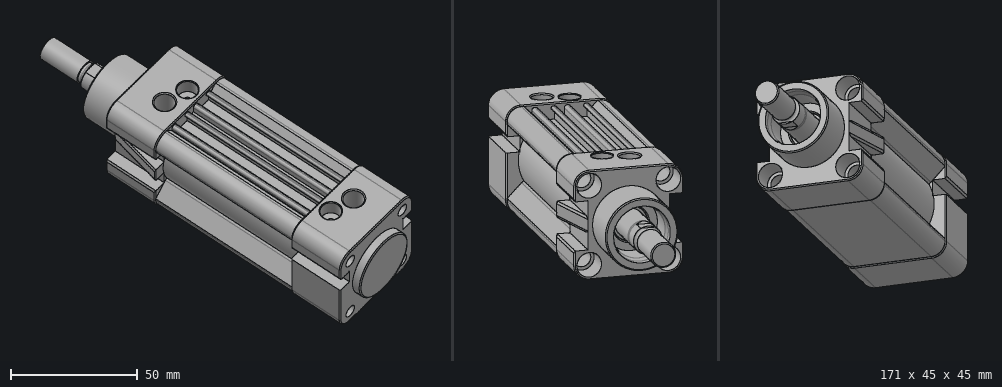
import cadquery as cq

total_length = 171.0
boss_front = 30.0
front_cap_start = 48.0
barrel_start = 73.0
barrel_end = 142.1
rear_cap_end = 167.0

cap_width = 45.0
bolt_offset = 16.2
cap_half = cap_width / 2
cap_corner_radius = cap_half - bolt_offset
cap_end_chamfer = 0.5

recess_floor = 16.8
recess_half_height = 10.1
bevel_rise = 1.0
bevel_depth = 0.5
block_top = 3.5
ramp_half_height = 3.5

boss_diameter = 29.8
boss_chamfer = 0.5
boss_bore_diameter = 21.9
boss_bore_depth = 15.4
boss_mouth_diameter = 23.3
boss_mouth_depth = 2.5
boss_mouth_taper = 2.2
wiper_diameter = 14.4
wiper_depth = 1.7
wiper_chamfer = 0.5

chamber_diameter = 16.0
chamber_depth = 16.2
port_diameter = 8.5
port_chamfer = 0.5
port_inset = 9.4
port_offset = 5.0
screw_recess_diameter = 8.5
screw_recess_chamfer = 0.3
screw_recess_depth = 6.8
screw_hole_diameter = 2.9
screw_inset = 6.3
screw_offset = 5.5

bolt_head_diameter = 10.1
bolt_head_depth = 10.3
bolt_clearance_diameter = 7.4
bolt_hole_diameter = 5.3

barrel_width = 44.1
barrel_half = barrel_width / 2
barrel_corner_radius = barrel_half - bolt_offset
lobe_edge = 15.2
flank_radius = 17.5
flank_half_height = 8.5
flank_groove_bottom = 9.2
top_valley_level = 19.0

slot_offset = 6.7
slot_opening = 5.5
slot_inner_width = 8.4
slot_floor_level = 15.7
slot_lip_underside = 20.0
slot_lip_top = 21.2
slot_lip_outer_width = 10.5
slot_lip_outer_radius = 1.2
slot_lip_inner_radius = 0.9

rod_diameter = 12.0
thread_diameter = 10.3
thread_chamfer = 0.5
neck_start = 19.2
neck_diameter = 8.9
neck_fillet = 1.4
shoulder = 21.7
flat_end = 27.4
flat_run_out = 1.2
wrench_section_diameter = 11.8
taper_start = 28.0
taper_end = 29.0
wrench_width = 10.3


def disc(diameter, start, end):
    """Cylinder on the X axis."""
    return cq.Workplane("YZ").workplane(offset=start).circle(diameter / 2).extrude(end - start)


def block(x_range, y_range, z_range):
    """Box between given limits."""
    size = [high - low for low, high in (x_range, y_range, z_range)]
    corner = [low for low, high in (x_range, y_range, z_range)]
    return cq.Workplane("XY").box(*size, centered=False).translate(tuple(corner))


def rounded_bar(width, corner_radius, start, end):
    """Square bar along X with rounded corners."""
    bar = cq.Workplane("YZ").workplane(offset=start).rect(width, width).extrude(end - start)
    return bar.edges("|X").fillet(corner_radius)


def bolt_holes(diameter, start, end):
    """Four cylinders on the tie bolt axes."""
    pitch = 2 * bolt_offset
    plane = cq.Workplane("YZ").workplane(offset=start)
    return plane.rect(pitch, pitch, forConstruction=True).vertices().circle(diameter / 2).extrude(end - start)


def prism(points, start, end):
    """Polygon of (y, z) points extruded along X."""
    return cq.Workplane("YZ").workplane(offset=start).polyline(points).close().extrude(end - start)


def both_sides(cutter):
    """A shape together with its mirror image across the middle plane."""
    return cutter.union(cutter.mirror("XZ"))


def side_recess(start, end, bottom, bevel_bottom):
    """Recess in both side faces, with a bevel on its top edge and optionally on its bottom edge."""
    top = recess_half_height
    points = [(recess_floor, bottom), (recess_floor, top), (cap_half - bevel_depth, top),
              (cap_half, top + bevel_rise)]
    if bevel_bottom:
        points += [(cap_half, bottom - bevel_rise), (cap_half - bevel_depth, bottom)]
    else:
        points += [(cap_half, bottom)]
    return both_sides(prism(points, start, end))


def cushion_cutters(barrel_face, outward):
    """Air port, cushion screw recess and chamber of a cap; outward is the X sense away from the barrel."""
    side = outward
    port_x = barrel_face + outward * port_inset
    screw_x = barrel_face + outward * screw_inset
    top = cq.Workplane("XY").workplane(offset=cap_half)
    port_at = (port_x, side * port_offset)
    screw_at = (screw_x, -side * screw_offset)
    port = top.center(*port_at).circle(port_diameter / 2).extrude(-cap_half)
    port_radius = port_diameter / 2 + port_chamfer
    port_mouth = top.center(*port_at).circle(port_radius).extrude(-port_chamfer, taper=45)
    recess = top.center(*screw_at).circle(screw_recess_diameter / 2).extrude(-screw_recess_depth)
    recess_radius = screw_recess_diameter / 2 + screw_recess_chamfer
    recess_mouth = top.center(*screw_at).circle(recess_radius).extrude(-screw_recess_chamfer, taper=45)
    screw_hole = top.center(*screw_at).circle(screw_hole_diameter / 2).extrude(-cap_half)
    chamber = disc(chamber_diameter, *sorted((barrel_face, barrel_face + outward * chamber_depth)))
    return [port, port_mouth, recess, recess_mouth, screw_hole, chamber]


def side_ramp():
    """Bevelled rib rising from the recess floor at the front to the full width at the barrel."""
    crest = ramp_half_height - bevel_rise
    base = recess_floor / 2
    shoulder_y = recess_floor - bevel_depth
    points = [(base, -ramp_half_height), (shoulder_y, -ramp_half_height), (recess_floor, -crest),
              (recess_floor, crest), (shoulder_y, ramp_half_height), (base, ramp_half_height)]
    wire = cq.Wire.makePolygon([cq.Vector(front_cap_start, y, z) for y, z in points], close=True)
    length = barrel_start - front_cap_start
    rise = cap_half - recess_floor
    ramp = cq.Solid.extrudeLinear(wire, [], cq.Vector(length, rise, 0))
    return both_sides(cq.Workplane(obj=ramp))


def cap_block(start, end):
    """Plain cap body with chamfered ends."""
    return rounded_bar(cap_width, cap_corner_radius, start, end).faces("<X or >X").chamfer(cap_end_chamfer)


def turned(points):
    """Body turned about the X axis from its (x, radius) outline."""
    return cq.Workplane("XY").polyline(points).close().revolve(360, (0, 0, 0), (1, 0, 0))


def rod_passage():
    """Stepped bore of the front cap: wide mouth, boss bore, wiper seat and rod hole."""
    mouth_end = boss_front + boss_mouth_depth
    bore_end = boss_front + boss_bore_depth
    wiper_end = bore_end + wiper_depth
    return turned([
        (boss_front, 0),
        (boss_front, boss_mouth_diameter / 2),
        (mouth_end, boss_mouth_diameter / 2),
        (mouth_end + boss_mouth_taper, boss_bore_diameter / 2),
        (bore_end, boss_bore_diameter / 2),
        (bore_end, wiper_diameter / 2 + wiper_chamfer),
        (bore_end + wiper_chamfer, wiper_diameter / 2),
        (wiper_end, wiper_diameter / 2),
        (wiper_end, rod_diameter / 2),
        (barrel_start, rod_diameter / 2),
        (barrel_start, 0),
    ])


def make_front_cap():
    envelope = cap_block(front_cap_start, barrel_start)
    cap = envelope.cut(side_recess(front_cap_start, barrel_start, -recess_half_height, True))
    cap = cap.union(side_ramp().intersect(envelope))
    boss = disc(boss_diameter, boss_front, front_cap_start + 1.7).faces("<X").chamfer(boss_chamfer)
    cap = cap.union(boss)
    cap = cap.cut(rod_passage())
    for cutter in cushion_cutters(barrel_start, -1):
        cap = cap.cut(cutter)
    cap = cap.cut(bolt_holes(bolt_head_diameter, front_cap_start, front_cap_start + bolt_head_depth))
    return cap.cut(bolt_holes(bolt_clearance_diameter, front_cap_start, barrel_start))


def make_rear_cap():
    cap = cap_block(barrel_end, rear_cap_end)
    cap = cap.cut(side_recess(barrel_end, rear_cap_end, block_top, False))
    boss = disc(boss_diameter, rear_cap_end, total_length).faces(">X").chamfer(boss_chamfer)
    cap = cap.union(boss)
    for cutter in cushion_cutters(barrel_end, 1):
        cap = cap.cut(cutter)
    return cap.cut(bolt_holes(bolt_hole_diameter, barrel_end, rear_cap_end))


def flank_groove():
    """Space beside the barrel between two corner lobes, with the round flank as its floor."""
    flank_y = (flank_radius**2 - flank_half_height**2) ** 0.5
    bottom_y = barrel_half - (lobe_edge - flank_groove_bottom)
    groove = (
        cq.Workplane("YZ").workplane(offset=barrel_start)
        .moveTo(barrel_half, lobe_edge)
        .lineTo(bottom_y, flank_groove_bottom)
        .lineTo(flank_y, flank_half_height)
        .threePointArc((flank_radius, 0), (flank_y, -flank_half_height))
        .lineTo(bottom_y, -flank_groove_bottom)
        .lineTo(barrel_half, -lobe_edge)
        .close()
        .extrude(barrel_end - barrel_start)
    )
    return both_sides(groove)


def top_recess():
    """Space on top of the barrel between the two upper lobes, down to the round core along the middle."""
    valley = lobe_edge - (barrel_half - top_valley_level)
    points = [(-lobe_edge, barrel_half), (-valley, top_valley_level), (valley, top_valley_level),
              (lobe_edge, barrel_half)]
    recess = prism(points, barrel_start, barrel_end)
    middle = block((barrel_start, barrel_end), (-slot_offset, slot_offset), (0, barrel_half))
    return recess.union(middle.cut(disc(2 * flank_radius, barrel_start, barrel_end)))


def slot_rail(y):
    """Raised strip with rounded outer edges that carries one sensor slot."""
    half = slot_lip_outer_width / 2
    rail = block((barrel_start, barrel_end), (y - half, y + half), (slot_floor_level, slot_lip_top))
    return rail.faces(">Z").edges("|X").fillet(slot_lip_outer_radius)


def slot_cutter(y):
    """Undercut sensor slot whose mouth flares out in two rounds."""
    inner = slot_inner_width / 2
    opening = slot_opening / 2
    radius = slot_lip_inner_radius
    mouth_start = slot_lip_top - radius
    return (
        cq.Workplane("YZ").workplane(offset=barrel_start).center(y, 0)
        .moveTo(-inner, slot_floor_level)
        .lineTo(inner, slot_floor_level)
        .lineTo(inner, slot_lip_underside)
        .lineTo(opening, slot_lip_underside)
        .lineTo(opening, mouth_start)
        .radiusArc((opening + radius, slot_lip_top), radius)
        .lineTo(-opening - radius, slot_lip_top)
        .radiusArc((-opening, mouth_start), radius)
        .lineTo(-opening, slot_lip_underside)
        .lineTo(-inner, slot_lip_underside)
        .close()
        .extrude(barrel_end - barrel_start)
    )


def make_barrel():
    barrel = rounded_bar(barrel_width, barrel_corner_radius, barrel_start, barrel_end)
    barrel = barrel.cut(flank_groove()).cut(top_recess())
    for y in (-slot_offset, slot_offset):
        barrel = barrel.union(slot_rail(y)).cut(slot_cutter(y))
    return barrel.cut(bolt_holes(bolt_hole_diameter, barrel_start, barrel_end))


def wrench_flat():
    """Space above the upper wrench flat, running out in a slope towards the rod."""
    flat_level = wrench_width / 2
    top = rod_diameter / 2
    points = [(shoulder, flat_level), (flat_end, flat_level), (flat_end + flat_run_out, top), (shoulder, top)]
    return cq.Workplane("XZ").polyline(points).close().extrude(top, both=True)


def make_rod():
    neck_radius = neck_diameter / 2
    wrench_radius = wrench_section_diameter / 2
    rod = (
        cq.Workplane("XY")
        .moveTo(0, 0)
        .lineTo(0, thread_diameter / 2 - thread_chamfer)
        .lineTo(thread_chamfer, thread_diameter / 2)
        .lineTo(neck_start, thread_diameter / 2)
        .lineTo(neck_start, neck_radius)
        .lineTo(shoulder - neck_fillet, neck_radius)
        .radiusArc((shoulder, neck_radius + neck_fillet), -neck_fillet)
        .lineTo(shoulder, wrench_radius)
        .lineTo(taper_start, wrench_radius)
        .lineTo(taper_end, rod_diameter / 2)
        .lineTo(barrel_start, rod_diameter / 2)
        .lineTo(barrel_start, 0)
        .close()
        .revolve(360, (0, 0, 0), (1, 0, 0))
    )
    flat = wrench_flat()
    return rod.cut(flat).cut(flat.mirror("XY"))


front_cap = make_front_cap()
barrel = make_barrel()
rear_cap = make_rear_cap()
rod = make_rod()

result = cq.Compound.makeCompound([front_cap.val(), barrel.val(), rear_cap.val(), rod.val()])